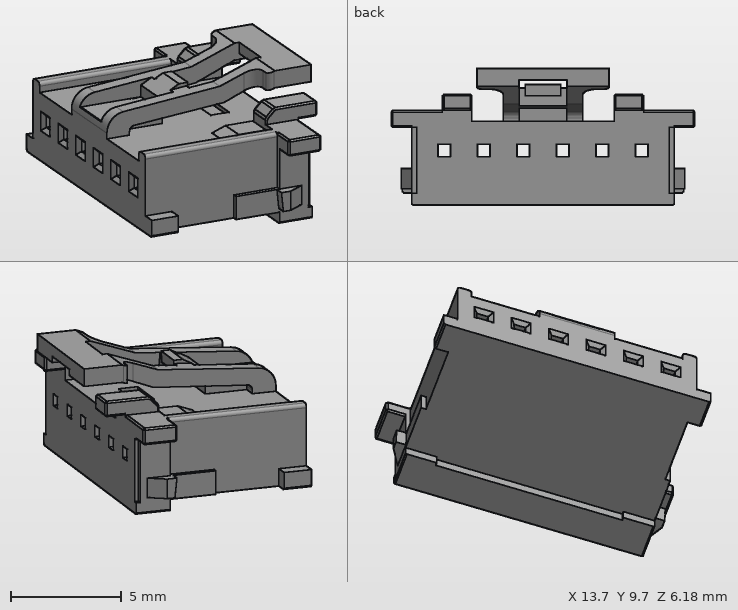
import cadquery as cq
import math


body_half = 5.7
base_z = 0.55
shelf_z = 3.8
top_z = 4.29
rail_inner = 5.03
rail_round = 0.18

flange_front = 6.65
flange_back = 8.29
flange_half = 5.93
relief_front = 8.11
ear_half = 6.85
ear_bottom = 3.51
edge_break = 0.08
foot_break = 0.07
foot_half = 4.44
foot_setback = 0.14

side_foot_half = 6.35
side_foot_length = 1.33
side_foot_top = 1.37
bar_front = 4.45
bar_top = 1.66
barb_half = 6.4
barb_bottom = 0.74
barb_back = 7.75
barb_crest = 6.97
barb_front_top = 6.51
barb_front_bottom = 6.6

hole_count = 6
hole_pitch = 1.78
hole_z = 2.47
hole_size = 0.55
mouth_size = 0.93
mouth_depth = 0.19

lug_inner = 3.2
lug_outer = 4.53
lug_bottom = 4.29
lug_top = 5.01
lug_back = 9.25
lug_slope = 0.44
ramp_front = 4.59
ramp_crest = 5.27
ramp_top = 4.04

latch_back = 9.7
latch_top = 6.18
latch_thick = 0.82
latch_bend_top = (5.69, 5.4)
latch_bend_bottom = (5.9, 4.59)
pad_end = 7.86
nose_round = 0.9
nose_z = 4.07
arm_tilt = math.radians(4.9)
gap_front = 1.14
gap_front_z = 4.2
gap_round = 0.27
arm_outer = 1.8
arm_inner = 1.08
pad_half = 2.99
pad_front = 7.54
pad_corner = 0.27
pad_neck_round = 0.63
window_back = 8.1
channel_top = 5.65
bridge_front = 3.14
bridge_front_top = 4.93
bridge_back = 4.51
bridge_back_drop = 1.1
pocket_front = 0.07
pocket_z = 4.37
catch_half = 0.81
catch_crest = 4.12
catch_back = 4.56
catch_top = 5.45
recess_front = 5.59
recess_back = 6.51
recess_depth = 0.19


def box(x0, x1, y0, y1, z0, z1):
    """Box between two corners."""
    return cq.Workplane("XY").box(x1 - x0, y1 - y0, z1 - z0, centered=False).translate((x0, y0, z0))


def side_prism(points, x0, x1):
    """Prism along X from an outline of (y, z) points."""
    return cq.Workplane("YZ").polyline(points).close().extrude(x1 - x0).translate((x0, 0, 0))


def both_sides(shape):
    """The shape together with its mirror image across x = 0."""
    return shape.union(shape.mirror("YZ"))


def make_body():
    """Block with a rounded rail along each upper side and a recess in the shelf under the latch."""
    block = box(-body_half, body_half, 0, flange_back, base_z, shelf_z)
    rail = box(rail_inner, body_half, 0, flange_front + edge_break, shelf_z, top_z)
    rail = rail.edges("|Y and >Z").fillet(rail_round)
    recess = box(-arm_inner, arm_inner, recess_front, recess_back, shelf_z - recess_depth, shelf_z)
    return block.cut(recess).union(both_sides(rail))


def make_flange():
    """Rear flange with a foot below, chamfered ears above and relieved rear corners."""
    flange = box(-flange_half, flange_half, flange_front, flange_back, 0, shelf_z)
    foot_recess = box(-foot_half, foot_half, flange_front, flange_front + foot_setback, 0, base_z)
    relief = box(body_half, flange_half, relief_front, flange_back, base_z, ear_bottom)
    flange = flange.edges("|Y and <Z").chamfer(foot_break)
    flange = flange.cut(foot_recess).cut(both_sides(relief))
    lug_middle = (lug_inner + lug_outer) / 2
    ear = box(body_half, ear_half, flange_front, flange_back, ear_bottom, top_z)
    ear = ear.edges(">X or (|X and <Z) or (|X and >Z)").chamfer(edge_break)
    ear_root = box(lug_middle, body_half, flange_front, flange_back, ear_bottom, top_z)
    ear_root = ear_root.edges("|X and >Z and >Y").chamfer(edge_break)
    return flange.union(both_sides(ear.union(ear_root)))


def make_side_details():
    """Front side feet, side bars and the barbs at their rear ends."""
    foot = box(0, side_foot_half, 0, side_foot_length, base_z, side_foot_top)
    foot = foot.edges("|Y and >X and <Z").chamfer(edge_break)
    bar = box(0, flange_half, bar_front, flange_front, base_z, bar_top)
    barb_side = [
        (barb_front_bottom, barb_bottom),
        (barb_back, barb_bottom),
        (barb_back, bar_top),
        (barb_front_top, bar_top),
    ]
    barb_plan = [
        (body_half, barb_front_top),
        (barb_half, barb_front_top),
        (barb_half, barb_crest),
        (flange_half, barb_back),
        (body_half, barb_back),
    ]
    barb = side_prism(barb_side, body_half, barb_half)
    barb = barb.intersect(cq.Workplane("XY").polyline(barb_plan).close().extrude(bar_top))
    return both_sides(foot.union(bar).union(barb))


def make_lugs():
    """Guide lugs overhanging the rear, each with a ramp on the shelf in front of it."""
    lug = box(lug_inner, lug_outer, flange_front, lug_back, lug_bottom, lug_top)
    lug = lug.edges("|X and <Y and >Z").chamfer(lug_slope)
    lug = lug.edges("not(|X and <Y and <Z)").chamfer(edge_break)
    lug_root = box(lug_inner, lug_outer, flange_front, flange_back, shelf_z, lug_bottom + edge_break)
    lug_root = lug_root.edges("|Z and <Y").chamfer(edge_break)
    ramp = side_prism(
        [
            (ramp_front, shelf_z),
            (ramp_crest, ramp_top),
            (flange_front + edge_break, ramp_top),
            (flange_front + edge_break, shelf_z),
        ],
        lug_inner,
        lug_outer,
    )
    return both_sides(lug.union(lug_root).union(ramp))


def latch_surface_z(y):
    """Height of the arm's upper face between the nose and the bend."""
    y_bend, z_bend = latch_bend_top
    return z_bend - (y_bend - y) * math.tan(arm_tilt)


def make_latch_profile():
    """Full-width latch: rounded nose, rising arm, flat press pad and the gap below."""
    nose_end = (nose_round * (1 - math.sin(arm_tilt)), nose_z + nose_round * math.cos(arm_tilt))
    nose_angle = (math.pi / 2 - arm_tilt) / 2
    nose_middle = (
        nose_round * (1 - math.cos(nose_angle)),
        nose_z + nose_round * math.sin(nose_angle),
    )
    profile = (
        cq.Workplane("YZ")
        .moveTo(0, shelf_z)
        .lineTo(0, nose_z)
        .threePointArc(nose_middle, nose_end)
        .lineTo(*latch_bend_top)
        .lineTo(pad_end, latch_top)
        .lineTo(latch_back, latch_top)
        .lineTo(latch_back, latch_top - latch_thick)
        .lineTo(pad_end, latch_top - latch_thick)
        .lineTo(*latch_bend_bottom)
        .lineTo(gap_front, gap_front_z)
        .lineTo(gap_front, shelf_z)
        .close()
        .extrude(pad_half, both=True)
    )
    gap_corner = cq.selectors.NearestToPointSelector((0, gap_front, gap_front_z))
    return profile.edges(gap_corner).fillet(gap_round)


def make_latch_plan():
    """Plan outline of the latch: two-arm width in front, wider press pad behind."""
    half = (
        cq.Workplane("XY")
        .moveTo(0, 0)
        .lineTo(arm_outer, 0)
        .lineTo(arm_outer, pad_front)
        .lineTo(pad_half, pad_front)
        .lineTo(pad_half, latch_back)
        .lineTo(0, latch_back)
        .close()
        .extrude(latch_top)
    )
    neck = cq.selectors.NearestToPointSelector((arm_outer, pad_front, latch_top / 2))
    corner = cq.selectors.NearestToPointSelector((pad_half, pad_front, latch_top / 2))
    half = half.edges(neck).fillet(pad_neck_round)
    half = half.edges(corner).fillet(pad_corner)
    return both_sides(half)


def make_latch():
    """Latch with a front pocket, a rear window and a catch on the bridge between them."""
    latch = make_latch_profile().intersect(make_latch_plan())

    pocket = box(-arm_inner, arm_inner, pocket_front, bridge_front, pocket_z, latch_top)
    bridge_back_z = latch_surface_z(bridge_back)
    bridge_back_low = bridge_back + bridge_back_drop * math.tan(arm_tilt)
    window = side_prism(
        [
            (bridge_back, latch_top),
            (bridge_back, bridge_back_z),
            (bridge_back_low, bridge_back_z - bridge_back_drop),
            (window_back, bridge_back_z - bridge_back_drop),
            (window_back, latch_top),
        ],
        -arm_inner,
        arm_inner,
    )
    channel = box(-arm_inner, arm_inner, window_back, latch_back, shelf_z, channel_top)
    bridge_slope = side_prism(
        [
            (bridge_front, bridge_front_top),
            (catch_crest, catch_top),
            (bridge_front, latch_top),
        ],
        -arm_inner,
        arm_inner,
    )
    latch = latch.cut(pocket).cut(window).cut(channel).cut(bridge_slope)

    catch = side_prism(
        [
            (bridge_front, bridge_front_top),
            (catch_crest, catch_top),
            (catch_back, catch_top),
            (catch_back, bridge_front_top),
        ],
        -catch_half,
        catch_half,
    )
    pedestal = box(-arm_inner, arm_inner, gap_front, bridge_front, shelf_z, pocket_z)
    return latch.union(catch).union(pedestal)


def make_contact_holes():
    """Square through holes, each with a tapered mouth in the front face."""
    holes = cq.Workplane("XY")
    bore_half = hole_size / 2
    for index in range(hole_count):
        x = (index - (hole_count - 1) / 2) * hole_pitch
        bore = box(x - bore_half, x + bore_half, 0, flange_back, hole_z - bore_half, hole_z + bore_half)
        mouth = (
            cq.Workplane("XZ", origin=(x, 0, hole_z))
            .rect(mouth_size, mouth_size)
            .workplane(offset=-mouth_depth)
            .rect(hole_size, hole_size)
            .loft(ruled=True)
        )
        holes = holes.add(bore.union(mouth))
    return holes.combine()


result = make_body().union(make_flange()).union(make_side_details())
result = result.union(make_lugs()).union(make_latch())
result = result.cut(make_contact_holes())